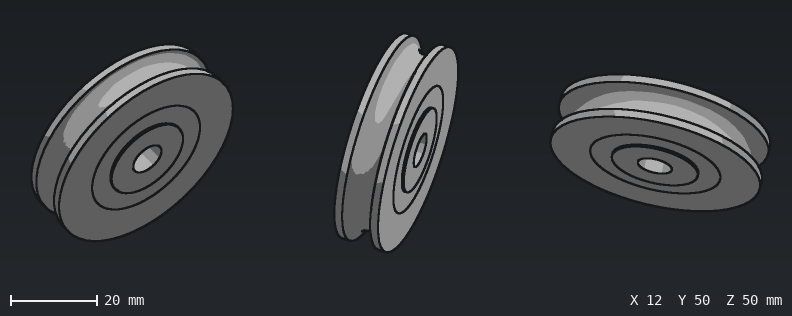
import cadquery as cq

wheel_diameter = 50.0
wheel_width = 11.0
groove_radius = 3.5

ring_diameter = 31.0

hub_diameter = 20.5
hub_width = 12.0
bore_diameter = 8.1


def make_sleeve(outer_diameter, inner_diameter, width):
    """Plain hollow cylinder along X, centred on the origin."""
    return (
        cq.Workplane("YZ")
        .circle(outer_diameter / 2)
        .circle(inner_diameter / 2)
        .extrude(width / 2, both=True)
    )


def make_wheel():
    """Rim with a half-round rope groove running around its outer surface."""
    blank = make_sleeve(wheel_diameter, ring_diameter, wheel_width)
    groove = (
        cq.Workplane("XY")
        .center(0, wheel_diameter / 2)
        .circle(groove_radius)
        .revolve(360, (0, -wheel_diameter / 2), (1, -wheel_diameter / 2))
    )
    return blank.cut(groove)


wheel = make_wheel()
ring = make_sleeve(ring_diameter, hub_diameter, wheel_width)
hub = make_sleeve(hub_diameter, bore_diameter, hub_width)

result = cq.Compound.makeCompound([wheel.val(), ring.val(), hub.val()])